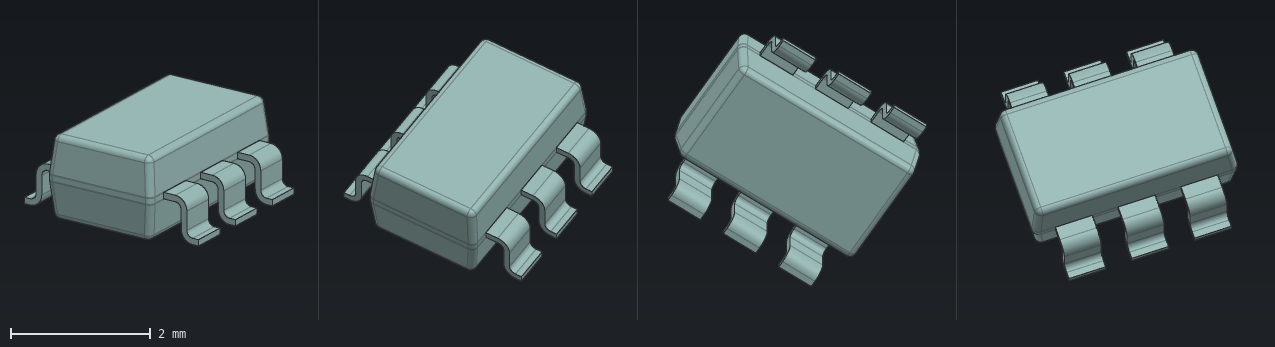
import cadquery as cq
import math

body_width = 1.8
body_length = 3.1
body_height = 1.294
draft_angle = 6.0
edge_radius = 0.1

lead_thickness = 0.1
lead_width = 0.56
lead_pitch = 0.95
leads_per_side = 3
lead_span = 3.0
bend_inner_radius = 0.1
bend_outer_radius = bend_inner_radius + lead_thickness
toe_length = 0.1

lead_top = (body_height + lead_thickness) / 2
lead_underside = lead_top - lead_thickness


def tapered_half(start_height, rise):
    """Drafted half of the body, from the band at start_height to a smaller end face."""
    return (
        cq.Workplane("XY", origin=(0, 0, start_height))
        .rect(body_width, body_length)
        .extrude(rise, taper=draft_angle)
    )


def make_body():
    """Straight middle band between two drafted halves, with every edge rounded."""
    band = (
        cq.Workplane("XY", origin=(0, 0, lead_underside))
        .rect(body_width, body_length)
        .extrude(lead_thickness)
    )
    upper_half = tapered_half(lead_top, body_height - lead_top)
    lower_half = tapered_half(lead_underside, -lead_underside)
    block = band.union(upper_half).union(lower_half)
    return block.edges().fillet(edge_radius)


def make_lead():
    """S-bent lead on the +X side, centred on Y = 0 and ending at the body's band."""
    toe_tip = lead_span / 2
    foot_bend_start = toe_tip - toe_length
    leg_inside = foot_bend_start - bend_outer_radius
    leg_outside = leg_inside + lead_thickness
    shoulder_bend_start = leg_outside - bend_outer_radius
    shoulder_bend_height = lead_top - bend_outer_radius
    foot_bend_height = bend_outer_radius
    body_side = body_width / 2

    inner_mid = bend_inner_radius * math.sqrt(0.5)
    outer_mid = bend_outer_radius * math.sqrt(0.5)

    profile = (
        cq.Workplane("XZ")
        .moveTo(body_side, lead_top)
        .lineTo(shoulder_bend_start, lead_top)
        .threePointArc(
            (shoulder_bend_start + outer_mid, shoulder_bend_height + outer_mid),
            (leg_outside, shoulder_bend_height),
        )
        .lineTo(leg_outside, foot_bend_height)
        .threePointArc(
            (foot_bend_start - inner_mid, foot_bend_height - inner_mid),
            (foot_bend_start, lead_thickness),
        )
        .lineTo(toe_tip, lead_thickness)
        .lineTo(toe_tip, 0)
        .lineTo(foot_bend_start, 0)
        .threePointArc(
            (foot_bend_start - outer_mid, foot_bend_height - outer_mid),
            (leg_inside, foot_bend_height),
        )
        .lineTo(leg_inside, shoulder_bend_height)
        .threePointArc(
            (shoulder_bend_start + inner_mid, shoulder_bend_height + inner_mid),
            (shoulder_bend_start, lead_underside),
        )
        .lineTo(body_side, lead_underside)
        .close()
    )
    return profile.extrude(lead_width / 2, both=True)


body = make_body()

leads = []
for side_angle in (0, 180):
    for index in range(leads_per_side):
        lead_y = (index - (leads_per_side - 1) / 2) * lead_pitch
        lead = make_lead().rotate((0, 0, 0), (0, 0, 1), side_angle).translate((0, lead_y, 0))
        leads.append(lead.val())

result = cq.Compound.makeCompound([body.val(), *leads])